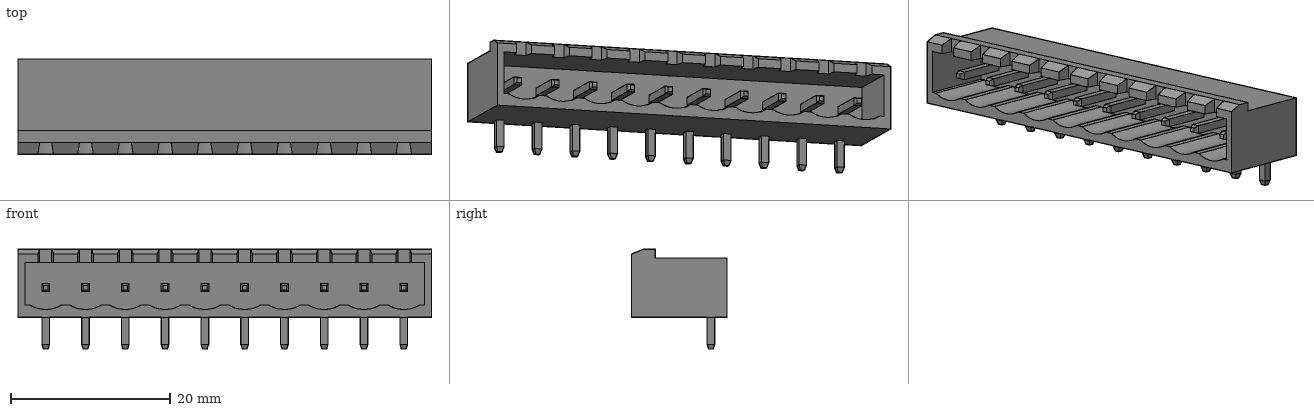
import cadquery as cq


length = 52.0
depth = 12.0
roof_height = 7.5
lip_height = 8.6
lip_depth = 3.0
lip_slope_depth = 1.5
lip_slope_drop = 0.6

end_wall = 0.9
cavity_depth = 9.0
cavity_floor = 1.55
cavity_ceiling = 6.85
scallop_width = 4.0
scallop_sag = 0.55

notch_front_width = 2.0
notch_back_width = 1.5
notch_depth = lip_slope_depth

contact_count = 10
contact_row_length = 45.0
pin_width = 1.0
pin_tip_width = 0.55
pin_tip_length = 0.6
pin_axis_height = 3.75
pin_setback = 2.0
tail_length = 4.0
tail_to_back = 2.05

contact_pitch = contact_row_length / (contact_count - 1)
tail_y = depth - tail_to_back
contact_xs = [i * contact_pitch - contact_row_length / 2 for i in range(contact_count)]


def make_housing():
    """Stepped side profile with a sloped lip, extruded along the row."""
    profile = [
        (0, 0),
        (depth, 0),
        (depth, roof_height),
        (lip_depth, roof_height),
        (lip_depth, lip_height),
        (lip_slope_depth, lip_height),
        (0, lip_height - lip_slope_drop),
    ]
    return cq.Workplane("YZ").polyline(profile).close().extrude(length / 2, both=True)


def make_cavity():
    """Mating pocket whose floor dips in a shallow arc under each contact."""
    half_width = length / 2 - end_wall
    outline = (
        cq.Workplane("XZ")
        .moveTo(-half_width, cavity_ceiling)
        .lineTo(-half_width, cavity_floor)
    )
    for x in contact_xs:
        outline = outline.lineTo(x - scallop_width / 2, cavity_floor).threePointArc(
            (x, cavity_floor - scallop_sag), (x + scallop_width / 2, cavity_floor)
        )
    outline = outline.lineTo(half_width, cavity_floor).lineTo(half_width, cavity_ceiling)
    return outline.close().extrude(-cavity_depth)


def make_notch(x):
    """Tapered opening from the cavity up through the top of the lip."""
    return (
        cq.Workplane("XY", origin=(x, 0, cavity_ceiling))
        .moveTo(-notch_front_width / 2, 0)
        .lineTo(notch_front_width / 2, 0)
        .lineTo(notch_back_width / 2, notch_depth)
        .lineTo(-notch_back_width / 2, notch_depth)
        .close()
        .extrude(lip_height - cavity_ceiling)
    )


def make_pin(end_plane, total_length):
    """Square pin with a pyramidal tip; it grows from the tip along the plane normal."""
    tip = (
        end_plane.rect(pin_tip_width, pin_tip_width)
        .workplane(offset=pin_tip_length)
        .rect(pin_width, pin_width)
        .loft()
    )
    shank = (
        end_plane.workplane(offset=pin_tip_length)
        .rect(pin_width, pin_width)
        .extrude(total_length - pin_tip_length)
    )
    return tip.union(shank)


def make_contact(x):
    """Right-angle contact: a pin towards the mating face and a solder tail pointing down."""
    mating_end = cq.Workplane(cq.Plane((x, pin_setback, pin_axis_height), (1, 0, 0), (0, 1, 0)))
    tail_end = cq.Workplane("XY", origin=(x, tail_y, -tail_length))
    mating_pin = make_pin(mating_end, tail_y + pin_width / 2 - pin_setback)
    tail = make_pin(tail_end, tail_length + pin_axis_height)
    return mating_pin.union(tail)


result = make_housing().cut(make_cavity())
for x in contact_xs:
    result = result.cut(make_notch(x))
    result = result.union(make_contact(x))